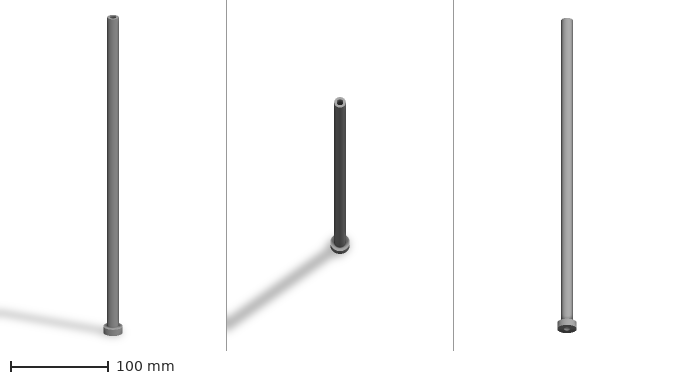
import cadquery as cq

total_length = 350.0
head_diameter = 20.0
head_height = 7.0
tube_diameter = 12.0
bore_diameter = 6.5
neck_fillet = 0.7

head = cq.Workplane("XY").circle(head_diameter / 2).extrude(head_height)
tube = cq.Workplane("XY").circle(tube_diameter / 2).extrude(total_length)
bore = cq.Workplane("XY").circle(bore_diameter / 2).extrude(total_length)

body = head.union(tube)
head_shoulder = body.faces(">Z[-2]")
neck_corner = head_shoulder.edges(cq.selectors.RadiusNthSelector(0))
body = neck_corner.fillet(neck_fillet)

result = body.cut(bore)